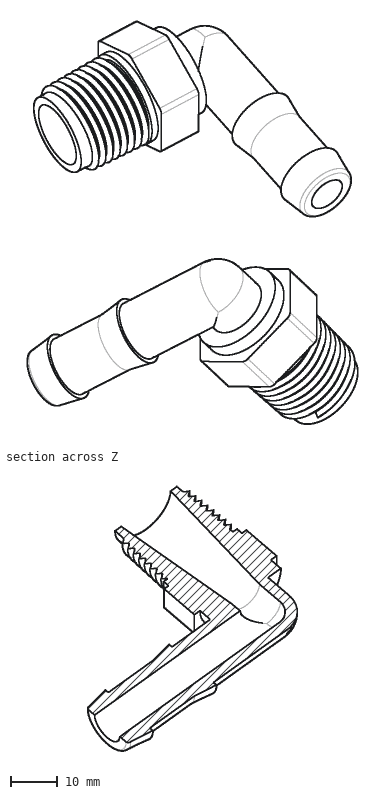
import cadquery as cq
import math


tube_radius = 13.2 / 2
bore_radius = 7.9 / 2

collar_radius = 20.6 / 2
collar_back = -tube_radius
hex_back = -9.75
hex_front = -19.35
hex_sides = 6
hex_flats = 23.85
hex_corner_fillet = 1.45
neck_radius = 21.35 / 2
neck_front = -20.95
tip_end = -38.1
tip_radius = 17.9 / 2
mouth_radius = 14.2 / 2

overall_length = 58.0
hose_end = overall_length - hex_flats / 2
barb_length = 5.7
barb_radius = 7.55
hose_end_fillet = 0.7
barb_starts = (21.3, 39.65)

radial_taper = 1 / 32
thread_turns = 8
thread_length = 14.5
thread_pitch = thread_length / thread_turns
thread_start = -21.3
thread_depth = 1.15
thread_half_base = 0.8
thread_embed = 0.05


def root_radius(y):
    """Radius of the tapered thread core at a place along Y."""
    return tip_radius + (y - tip_end) * radial_taper


def cylinder_y(radius, back, front):
    """Solid cylinder about the Y axis from back down to front."""
    return cq.Workplane("XZ", origin=(0, back, 0)).circle(radius).extrude(back - front)


def cylinder_x(radius, length):
    """Solid cylinder about the X axis starting at the origin."""
    return cq.Workplane("YZ").circle(radius).extrude(length)


def cone_y(back_radius, back, front_radius, front):
    """Solid truncated cone about the Y axis from back down to front."""
    half_section = [(0, back), (back_radius, back), (front_radius, front), (0, front)]
    return cq.Workplane("XY").polyline(half_section).close().revolve(360, (0, 0), (0, 1))


def make_barb(start):
    """Barb with a square shoulder at its start, tapering down to the tube."""
    end = start + barb_length
    half_section = [(start, 0), (start, barb_radius), (end, tube_radius), (end, 0)]
    return cq.Workplane("XY").polyline(half_section).close().revolve(360, (0, 0), (1, 0))


def make_hose_leg():
    leg = cylinder_x(tube_radius, hose_end).faces(">X").edges().fillet(hose_end_fillet)
    for start in barb_starts:
        leg = leg.union(make_barb(start))
    return leg


def make_hexagon():
    """Hexagon with flats facing +X and -X and rounded corners."""
    corner_diameter = hex_flats / math.cos(math.pi / hex_sides)
    return (
        cq.Workplane("XZ", origin=(0, hex_back, 0))
        .transformed(rotate=(0, 0, 180 / hex_sides))
        .polygon(hex_sides, corner_diameter)
        .extrude(hex_back - hex_front)
        .edges("|Y")
        .fillet(hex_corner_fillet)
    )


def make_thread():
    """Right-hand V ridge on the tapered core, starting and ending at -Z."""
    start_root = root_radius(thread_start)
    inner = start_root - thread_embed
    inner_half_base = thread_half_base * (1 + thread_embed / thread_depth)
    helix = cq.Wire.makeHelix(
        thread_pitch,
        thread_length,
        start_root,
        angle=-math.degrees(math.atan(radial_taper)),
    )
    ridge = (
        cq.Workplane("XZ")
        .moveTo(inner, -inner_half_base)
        .lineTo(start_root + thread_depth, 0)
        .lineTo(inner, inner_half_base)
        .close()
        .sweep(cq.Workplane(obj=helix), isFrenet=True)
    )
    return (
        ridge.rotate((0, 0, 0), (0, 0, 1), -90)
        .rotate((0, 0, 0), (1, 0, 0), 90)
        .translate((0, thread_start, 0))
    )


def make_threaded_leg():
    core = cone_y(root_radius(neck_front), neck_front, tip_radius, tip_end)
    return (
        core.union(make_thread())
        .union(cylinder_y(neck_radius, hex_front, neck_front))
        .union(make_hexagon())
        .union(cylinder_y(collar_radius, collar_back, hex_front))
        .union(cylinder_y(tube_radius, 0, hex_back))
    )


def make_passage():
    """Bore through both legs, widening in a long cone to the threaded mouth."""
    return (
        cylinder_x(bore_radius, hose_end)
        .union(cylinder_y(bore_radius, 0, collar_back))
        .union(cq.Workplane("XY").sphere(bore_radius))
        .union(cone_y(bore_radius, collar_back, mouth_radius, tip_end))
    )


elbow_ball = cq.Workplane("XY").sphere(tube_radius)
outside = make_threaded_leg().union(elbow_ball).union(make_hose_leg())
result = outside.cut(make_passage())